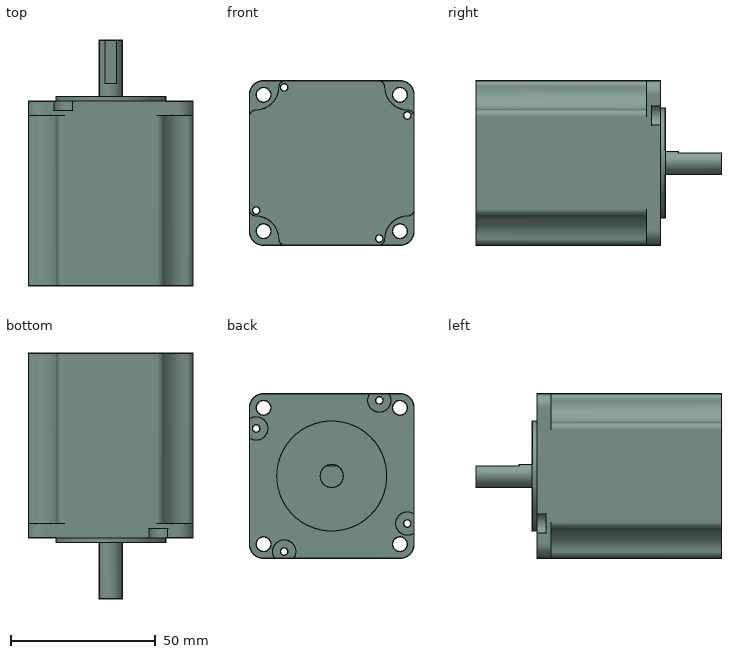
import cadquery as cq
import math

total_length = 85.0
body_width = 57.0
half_width = body_width / 2

shaft_length = 19.5
shaft_diameter = 8.0
flat_length = 15.0
flat_depth = 0.5
pilot_thickness = 1.6
pilot_diameter = 38.1

flange_thickness = 4.9
corner_radius = 4.9
mount_hole_spacing = 47.2
mount_hole_diameter = 5.0

relief_radius = 8.1
relief_inset = 2.1
relief_end = 12.5

screw_edge_inset = 2.4
screw_side_inset = 12.1
screw_diameter = 2.5
screw_head_diameter = 8.1
screw_head_depth = 3.2

body_length = total_length - shaft_length - pilot_thickness
shaft_end = pilot_thickness + shaft_length


def rod(x, z, diameter, y_start, y_end):
    """Cylinder along +Y between two Y positions."""
    base = cq.Plane(origin=(x, y_start, z), xDir=(1, 0, 0), normal=(0, 1, 0))
    return cq.Workplane(base).circle(diameter / 2).extrude(y_end - y_start)


def turned(shape, quarter):
    """Shape turned about the motor axis by a number of quarter turns."""
    return shape.rotate((0, 0, 0), (0, 1, 0), 90 * quarter)


def corner_relief():
    """Concave channel at the -X, +Z corner, blended into both side faces."""
    offset = relief_end - relief_inset
    blend = (offset**2 + relief_inset**2 - relief_radius**2) / (2 * (relief_radius + relief_inset))
    tangent_share = relief_radius / (relief_radius + blend)
    tangent_along = relief_inset + offset * tangent_share
    tangent_depth = relief_inset + (blend - relief_inset) * tangent_share
    blend_angle = math.atan2(tangent_depth - blend, tangent_along - relief_end)
    middle_angle = (blend_angle % (2 * math.pi) + 1.5 * math.pi) / 2
    middle_along = relief_end + blend * math.cos(middle_angle)
    middle_depth = blend + blend * math.sin(middle_angle)
    arc_middle = relief_inset + relief_radius * math.sqrt(0.5)

    corner = cq.Plane(
        origin=(-half_width, -flange_thickness, half_width), xDir=(1, 0, 0), normal=(0, -1, 0)
    )
    return (
        cq.Workplane(corner)
        .moveTo(0, 0)
        .lineTo(relief_end, 0)
        .threePointArc((middle_along, -middle_depth), (tangent_along, -tangent_depth))
        .threePointArc((arc_middle, -arc_middle), (tangent_depth, -tangent_along))
        .threePointArc((middle_depth, -middle_along), (0, -relief_end))
        .close()
        .extrude(body_length - flange_thickness)
    )


def screw_hole():
    """Through hole with a head recess in the flange, breaking out of the top face."""
    x = -half_width + screw_side_inset
    z = half_width - screw_edge_inset
    hole = rod(x, z, screw_diameter, -body_length, 0)
    return hole.union(rod(x, z, screw_head_diameter, -screw_head_depth, 0))


def shaft():
    """Output shaft with a flat on its +Z side."""
    flat_height = shaft_diameter / 2 - flat_depth
    flat = cq.Workplane("XY").box(
        shaft_diameter, flat_length, shaft_diameter, centered=(True, False, False)
    )
    flat = flat.translate((0, shaft_end - flat_length, flat_height))
    return rod(0, 0, shaft_diameter, 0, shaft_end).cut(flat)


result = (
    cq.Workplane("XZ").rect(body_width, body_width).extrude(body_length).edges("|Y").fillet(corner_radius)
)

mount_hole = rod(-mount_hole_spacing / 2, mount_hole_spacing / 2, mount_hole_diameter, -flange_thickness, 0)
corner_cut = corner_relief().union(mount_hole)
for quarter in range(4):
    result = result.cut(turned(corner_cut, quarter))
    result = result.cut(turned(screw_hole(), quarter))

result = result.union(rod(0, 0, pilot_diameter, 0, pilot_thickness)).union(shaft())